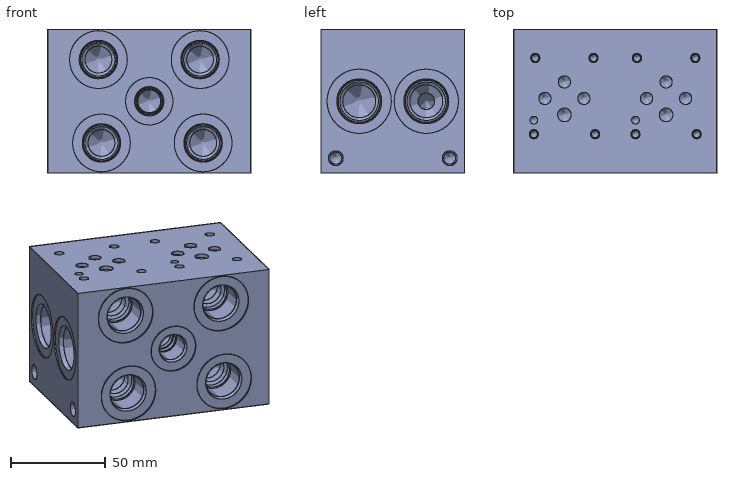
import cadquery as cq
import math

LENGTH = 108.0
WIDTH = 76.2
HEIGHT = 76.2
FRONT_Y = -WIDTH / 2
LEFT_X = -LENGTH / 2

STATION_PITCH = 54.0
STATION_CENTRES = (-STATION_PITCH / 2, STATION_PITCH / 2)

DRILL_TIP_ANGLE = 118.0
SEAL_CONE_ANGLE = 30.0
SPOTFACE_DEPTH = 0.8

LARGE_PORT = (34.1, 23.9, 22.6, 22.2, 20.4, 17.5)
MEDIUM_PORT = (30.7, 20.4, 19.2, 19.0, 17.5, 14.2)
SMALL_PORT = (25.2, 15.5, 14.4, 14.2, 13.0, 12.2)
TAPPING_RUN_OUT = 3.2

FRONT_PORT_EDGE_GAP = 16.0
LOWER_PORT_SHIFT = 1.6
MEDIUM_THREAD_DEPTH = 16.2
MEDIUM_DRILL_DEPTH = 25.9
SMALL_THREAD_DEPTH = 15.1
SMALL_DRILL_DEPTH = 21.6

LEFT_PORT_Y = 17.8
LARGE_THREAD_DEPTH = 17.3
LARGE_DRILL_DEPTH = 23.7
TAPER_DIAMETER = 8.7
TAPER_ANGLE = 26.0

MOUNT_EDGE_GAP = 7.9
MOUNT_THREAD = 7.9
MOUNT_DRILL = 6.4
MOUNT_THREAD_DEPTH = 15.1
MOUNT_DRILL_DEPTH = 19.4

REAR_BOLT_Y = 23.0
REAR_BOLT_SPACING = 31.0
FRONT_BOLT_OVERHANG = 0.8
BOLT_ROW_SPACING = 40.5
BOLT_THREAD = 4.9
BOLT_DRILL = 3.8
BOLT_THREAD_DEPTH = 13.0
BOLT_DRILL_DEPTH = 16.2
REAR_PORT_OFFSET = 12.7
SIDE_PORT_OFFSET = 21.5
FRONT_PORT_OFFSET = 30.2
SIDE_PORT_SPACING = 20.7
VALVE_PORT = 6.5
FRONT_VALVE_PORT = 7.2
VALVE_PORT_DEPTH = 1.9
PIN_OFFSET = 33.0
PIN_DIAMETER = 4.1
PIN_DEPTH = 3.2


def cone_height(large, small, angle):
    """Axial length of a cone between two diameters, for a full cone angle in degrees."""
    return (large - small) / 2 / math.tan(math.radians(angle / 2))


def revolved(steps):
    """Solid of revolution about Z from (diameter, depth) steps, reaching down from Z = 0."""
    points = [(0, 0)]
    points += [(diameter / 2, -depth) for diameter, depth in steps]
    return cq.Workplane("XZ").polyline(points).close().revolve(360, (0, 0), (0, 1))


def drilled(thread, thread_depth, drill, drill_depth):
    """Threaded hole over a smaller drill with a pointed end."""
    tip = drill_depth + cone_height(drill, 0, DRILL_TIP_ANGLE)
    return revolved([
        (thread, 0),
        (thread, thread_depth),
        (drill, thread_depth),
        (drill, drill_depth),
        (0, tip),
    ])


def plain(diameter, depth):
    """Blind drilled hole with a pointed end."""
    tip = depth + cone_height(diameter, 0, DRILL_TIP_ANGLE)
    return revolved([(diameter, 0), (diameter, depth), (0, tip)])


def port(sizes, thread_depth, drill_depth):
    """Spotfaced O-ring port with a seal cone, a thread, a tapping bore and a pointed drill."""
    spotface, mouth, cone_end, thread, tapping, drill = sizes
    cone_depth = SPOTFACE_DEPTH + cone_height(mouth, cone_end, SEAL_CONE_ANGLE)
    tapping_depth = thread_depth + TAPPING_RUN_OUT
    step_depth = tapping_depth + cone_height(tapping, drill, DRILL_TIP_ANGLE)
    tip = drill_depth + cone_height(drill, 0, DRILL_TIP_ANGLE)
    return revolved([
        (spotface, 0),
        (spotface, SPOTFACE_DEPTH),
        (mouth, SPOTFACE_DEPTH),
        (cone_end, cone_depth),
        (thread, cone_depth),
        (thread, thread_depth),
        (tapping, thread_depth),
        (tapping, tapping_depth),
        (drill, step_depth),
        (drill, drill_depth),
        (0, tip),
    ])


def on_front(tool, x, z):
    """Turn a tool to cut along +Y from the front face."""
    return tool.rotate((0, 0, 0), (1, 0, 0), 90).translate((x, FRONT_Y, z))


def on_left(tool, y, z):
    """Turn a tool to cut along +X from the left face."""
    return tool.rotate((0, 0, 0), (0, 1, 0), -90).translate((LEFT_X, y, z))


def on_top(tool, x, y):
    """Move a tool to cut down from the top face."""
    return tool.translate((x, y, HEIGHT))


def valve_pattern(centre_x):
    """Bolt holes, ports and locating pin hole of one valve station."""
    bolt = drilled(BOLT_THREAD, BOLT_THREAD_DEPTH, BOLT_DRILL, BOLT_DRILL_DEPTH)
    rear_x = REAR_BOLT_SPACING / 2
    front_x = rear_x + FRONT_BOLT_OVERHANG
    port_hole = plain(VALVE_PORT, VALVE_PORT_DEPTH)
    side_y = REAR_BOLT_Y - SIDE_PORT_OFFSET
    tools = [
        on_top(port_hole, centre_x, REAR_BOLT_Y - REAR_PORT_OFFSET),
        on_top(plain(FRONT_VALVE_PORT, VALVE_PORT_DEPTH), centre_x, REAR_BOLT_Y - FRONT_PORT_OFFSET),
        on_top(plain(PIN_DIAMETER, PIN_DEPTH), centre_x - front_x, REAR_BOLT_Y - PIN_OFFSET),
    ]
    for side in (-1, 1):
        tools.append(on_top(bolt, centre_x + side * rear_x, REAR_BOLT_Y))
        tools.append(on_top(bolt, centre_x + side * front_x, REAR_BOLT_Y - BOLT_ROW_SPACING))
        tools.append(on_top(port_hole, centre_x + side * SIDE_PORT_SPACING / 2, side_y))
    return tools


def front_ports():
    """Upper and lower port at each station, and the small port in the middle of the face."""
    medium = port(MEDIUM_PORT, MEDIUM_THREAD_DEPTH, MEDIUM_DRILL_DEPTH)
    tools = [on_front(port(SMALL_PORT, SMALL_THREAD_DEPTH, SMALL_DRILL_DEPTH), 0, HEIGHT / 2)]
    for x in STATION_CENTRES:
        tools.append(on_front(medium, x, HEIGHT - FRONT_PORT_EDGE_GAP))
        tools.append(on_front(medium, x + LOWER_PORT_SHIFT, FRONT_PORT_EDGE_GAP))
    return tools


def left_holes():
    """Two large ports, the taper at the end of the front one, and two mounting holes."""
    large = port(LARGE_PORT, LARGE_THREAD_DEPTH, LARGE_DRILL_DEPTH)
    mount = drilled(MOUNT_THREAD, MOUNT_THREAD_DEPTH, MOUNT_DRILL, MOUNT_DRILL_DEPTH)
    large_drill = LARGE_PORT[-1]
    taper_start = LARGE_DRILL_DEPTH + cone_height(large_drill, TAPER_DIAMETER, DRILL_TIP_ANGLE)
    taper_end = taper_start + cone_height(TAPER_DIAMETER, 0, TAPER_ANGLE)
    taper = revolved([(TAPER_DIAMETER, 0), (TAPER_DIAMETER, taper_start), (0, taper_end)])
    tools = [on_left(taper, -LEFT_PORT_Y, HEIGHT / 2)]
    for side in (-1, 1):
        tools.append(on_left(large, side * LEFT_PORT_Y, HEIGHT / 2))
        tools.append(on_left(mount, side * (WIDTH / 2 - MOUNT_EDGE_GAP), MOUNT_EDGE_GAP))
    return tools


result = cq.Workplane("XY").box(LENGTH, WIDTH, HEIGHT, centered=(True, True, False))
cutters = front_ports() + left_holes()
for station_x in STATION_CENTRES:
    cutters += valve_pattern(station_x)
for cutter in cutters:
    result = result.cut(cutter)